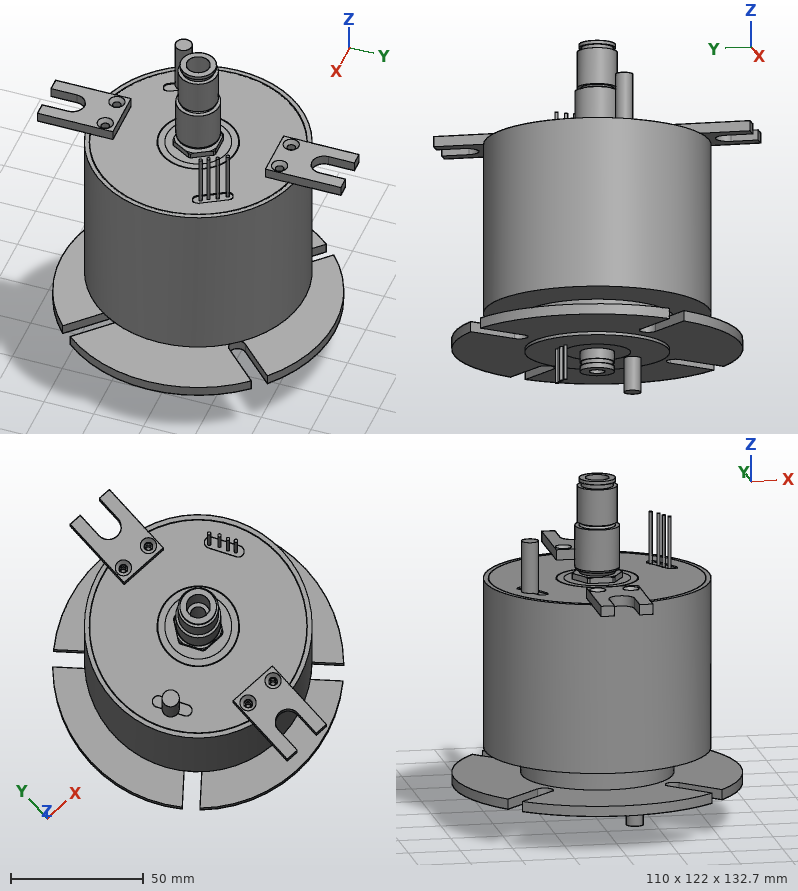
import cadquery as cq
import math

wire_bottom = 0.0
outlet_bottom = 5.6
boss_bottom = 13.1
flange_bottom = 14.3
flange_top = 18.3
hub_top = 26.5
housing_bottom = 28.1
housing_top = 93.7
wire_top = 113.3
total_height = 132.7

housing_radius = 43.0
cover_radius = 41.0
cover_gap = 0.1
recess_depth = 0.5
bore_radius = 15.5

bracket_width = 19.9
bracket_thickness = 4.0
bracket_inner_y = 30.7
bracket_span = 122.0
bracket_outer_y = bracket_span / 2
fork_width = 9.7
fork_depth = 15.3
screw_spacing = 12.7
screw_y = 35.0
countersink_radius = 3.0
clearance_radius = 1.6
tapped_radius = 1.0
tapped_depth = 4.0
drill_point_angle = 118.0

slot_angle = 30.0
slot_distance = 32.1
slot_length = 15.5
slot_width = 4.4

cable_radius = 6.5 / 2
wire_radius = 0.64
top_cable = (-28.9, -16.5)
top_wires = [(24.4, 20.8), (26.8, 17.6), (28.3, 14.5), (30.0, 12.0)]
bottom_cable = (12.3, -11.0)
bottom_wires = [(-12.7, 9.5), (-10.9, 11.5), (-8.8, 12.7), (-7.5, 13.9)]

shaft_radius = 15.3
neck_radius = 22.0
hub_radius = 28.9
flange_radius = 55.0
boss_radius = 27.3
rotor_bore_radius = 12.6
flange_slot_width = 6.6
flange_slot_centre = 35.2
flange_slot_count = 4
first_flange_slot_angle = 45.0

outlet_radius = 6.5
outlet_groove_radius = 6.1
outlet_groove_bottom = 7.5
outlet_groove_top = 9.2

hex_flats = 17.1
hex_corner_radius = 19.2 / 2
hex_height = 2.3
hex_chamfer_drop = 0.3
hex_chamfer_width = 0.5
hex_top = housing_top + hex_height

foot_radius = 6.6
foot_top_radius = 7.7
sleeve_bottom = 97.4
sleeve_bottom_radius = 8.2
sleeve_chamfer_top = 98.2
sleeve_radius = 8.5
sleeve_top = 114.3
waist_cone_radius = 6.9
waist_radius = 6.2
waist_cone_top = 115.0
head_bottom = 115.7
head_radius = 15.3 / 2
head_top = 129.6
collar_neck_radius = 6.1
collar_bottom = 131.4
collar_radius = 6.9

socket_radius = 4.5
socket_depth = 15.9
passage_radius = 2.9


def cylinder(radius, bottom, top, centre=(0, 0)):
    return cq.Workplane("XY", origin=(*centre, bottom)).circle(radius).extrude(top - bottom)


def make_bracket():
    """Forked bracket on the +Y side, open end outwards."""
    length = bracket_outer_y - bracket_inner_y
    plate = cq.Workplane("XY", origin=(0, bracket_inner_y + length / 2, housing_top)).box(
        bracket_width, length, bracket_thickness, centered=(True, True, False)
    )
    fork_cut = (
        cq.Workplane("XY", origin=(0, bracket_outer_y, housing_top))
        .slot2D(2 * fork_depth, fork_width, 90)
        .extrude(bracket_thickness)
    )
    return plate.cut(fork_cut)


def make_screw_hole(x, y):
    """Countersunk clearance hole in the bracket above a blind tapped hole in the housing."""
    bracket_top = housing_top + bracket_thickness
    countersink_bottom = bracket_top - (countersink_radius - clearance_radius)
    tapped_bottom = housing_top - tapped_depth
    tip = tapped_bottom - tapped_radius / math.tan(math.radians(drill_point_angle / 2))
    profile = [
        (0, tip),
        (tapped_radius, tapped_bottom),
        (tapped_radius, housing_top),
        (clearance_radius, housing_top),
        (clearance_radius, countersink_bottom),
        (countersink_radius, bracket_top),
        (0, bracket_top),
    ]
    return cq.Workplane("XZ").polyline(profile).close().revolve().translate((x, y, 0))


def make_cable_slot(angle):
    """Shallow slot in the cover, square to the radius at the given angle."""
    return (
        cq.Workplane("XY", origin=(0, 0, housing_top - recess_depth))
        .center(
            slot_distance * math.cos(math.radians(angle)),
            slot_distance * math.sin(math.radians(angle)),
        )
        .slot2D(slot_length, slot_width, angle + 90)
        .extrude(recess_depth)
    )


def make_stator():
    body = cylinder(housing_radius, housing_bottom, housing_top)
    cover_groove = cylinder(cover_radius + cover_gap, housing_top - recess_depth, housing_top).cut(
        cylinder(cover_radius, housing_top - recess_depth, housing_top)
    )
    body = body.cut(cover_groove).cut(cylinder(bore_radius, housing_bottom, housing_top))
    for angle in (slot_angle, slot_angle + 180):
        body = body.cut(make_cable_slot(angle))

    bracket = make_bracket()
    body = body.union(bracket).union(bracket.mirror("XZ"))
    for x in (-screw_spacing / 2, screw_spacing / 2):
        for y in (-screw_y, screw_y):
            body = body.cut(make_screw_hole(x, y))

    body = body.union(cylinder(cable_radius, housing_top - recess_depth, wire_top, top_cable))
    for centre in top_wires:
        body = body.union(cylinder(wire_radius, housing_top - recess_depth, wire_top, centre))
    return body


def make_rotor():
    flange = cylinder(flange_radius, flange_bottom, flange_top)
    slot_reach = flange_radius - flange_slot_centre + flange_slot_width / 2
    for i in range(flange_slot_count):
        angle = first_flange_slot_angle + i * 360 / flange_slot_count
        slot = (
            cq.Workplane("XY", origin=(0, 0, flange_bottom))
            .center(flange_radius, 0)
            .slot2D(2 * slot_reach, flange_slot_width)
            .extrude(flange_top - flange_bottom)
        )
        flange = flange.cut(slot.rotate((0, 0, 0), (0, 0, 1), angle))

    body = (
        flange.union(cylinder(boss_radius, boss_bottom, flange_bottom))
        .union(cylinder(hub_radius, flange_top, hub_top))
        .union(cylinder(neck_radius, hub_top, housing_bottom))
        .union(cylinder(shaft_radius, housing_bottom, housing_top))
        .cut(cylinder(rotor_bore_radius, boss_bottom, housing_top))
    )
    body = body.union(cylinder(cable_radius, wire_bottom, boss_bottom, bottom_cable))
    for centre in bottom_wires:
        body = body.union(cylinder(wire_radius, wire_bottom, boss_bottom, centre))
    return body


def make_air_union():
    """Straight tube fitting through the rotor, with a hexagon above the housing."""
    profile = [
        (0, outlet_bottom),
        (outlet_radius, outlet_bottom),
        (outlet_radius, outlet_groove_bottom),
        (outlet_groove_radius, outlet_groove_bottom),
        (outlet_groove_radius, outlet_groove_top),
        (outlet_radius, outlet_groove_top),
        (outlet_radius, boss_bottom),
        (rotor_bore_radius, boss_bottom),
        (rotor_bore_radius, housing_top),
        (foot_radius, housing_top),
        (foot_radius, hex_top),
        (foot_top_radius, sleeve_bottom),
        (sleeve_bottom_radius, sleeve_bottom),
        (sleeve_radius, sleeve_chamfer_top),
        (sleeve_radius, sleeve_top),
        (waist_cone_radius, sleeve_top),
        (waist_radius, waist_cone_top),
        (waist_radius, head_bottom),
        (head_radius, head_bottom),
        (head_radius, head_top),
        (collar_neck_radius, head_top),
        (collar_neck_radius, collar_bottom),
        (collar_radius, collar_bottom),
        (collar_radius, total_height),
        (0, total_height),
    ]
    body = cq.Workplane("XZ").polyline(profile).close().revolve()
    hexagon = (
        cq.Workplane("XY", origin=(0, 0, housing_top))
        .polygon(6, hex_flats / math.cos(math.pi / 6))
        .extrude(hex_height)
    )
    corner_trim = (
        cq.Workplane("XZ")
        .polyline(
            [
                (0, housing_top),
                (hex_corner_radius, housing_top),
                (hex_corner_radius, hex_top - hex_chamfer_drop),
                (hex_corner_radius - hex_chamfer_width, hex_top),
                (0, hex_top),
            ]
        )
        .close()
        .revolve()
    )
    body = body.union(hexagon.intersect(corner_trim))
    passage = cylinder(passage_radius, outlet_bottom, total_height)
    socket = cylinder(socket_radius, total_height - socket_depth, total_height)
    return body.cut(passage).cut(socket)


stator = make_stator()
rotor = make_rotor()
air_union = make_air_union()
result = cq.Compound.makeCompound([stator.val(), rotor.val(), air_union.val()])